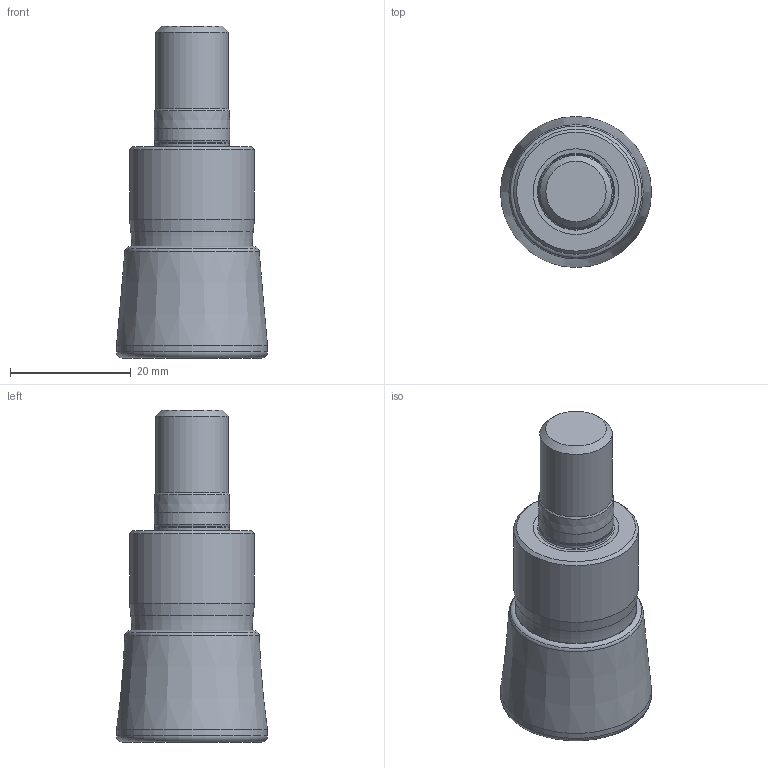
import math

import cadquery as cq

foot_radius = 12.5
foot_edge_fillet = 1.0
foot_rim_top = 2.0
foot_top = 18.5

shoulder_radius = 11.13
shoulder_side_fillet = 0.9
shoulder_top_fillet = 1.1
shoulder_split_angle = math.radians(42)

neck_radius = 10.0
neck_cone_bottom = 21.0
neck_cone_top = 23.0

body_radius = 10.35
body_top = 35.0
body_chamfer = 0.5

pilot_radius = 6.25
pilot_cone_radius = 6.2
pilot_cylinder_top = 38.0
pilot_top = 41.0
pilot_chamfer_height = 0.3

undercut_width = 1.0
undercut_depth = 0.1
undercut_radius = 0.2
undercut_entry_angle = math.radians(15)
undercut_face_angle = math.radians(8)
undercut_face_radius = 7.1

stud_radius = 6.0
stud_chamfer = 1.0
total_height = 55.0


def arc_point(center, radius, angle):
    """Point on a circle in the (radius, height) half plane."""
    return (center[0] + radius * math.cos(angle), center[1] + radius * math.sin(angle))


def add_arc(profile, center, radius, start_angle, end_angle):
    """Continue the profile along an arc that begins at its current point."""
    middle = arc_point(center, radius, (start_angle + end_angle) / 2)
    end = arc_point(center, radius, end_angle)
    return profile.threePointArc(middle, end)


def add_foot(profile):
    """Rounded bottom edge, short rim, tapered side and rounded shoulder."""
    edge_center = (foot_radius - foot_edge_fillet, foot_edge_fillet)

    fillet_difference = shoulder_top_fillet - shoulder_side_fillet
    side_center_x = shoulder_radius - shoulder_side_fillet
    top_center = (
        side_center_x - fillet_difference * math.cos(shoulder_split_angle),
        foot_top - shoulder_top_fillet,
    )
    side_center = arc_point(top_center, fillet_difference, shoulder_split_angle)

    rise = side_center[1] - foot_rim_top
    run = foot_radius - side_center[0]
    taper = math.atan2(run, rise) - math.asin(shoulder_side_fillet / math.hypot(run, rise))

    profile = profile.lineTo(edge_center[0], 0)
    profile = add_arc(profile, edge_center, foot_edge_fillet, -math.pi / 2, 0)
    profile = profile.lineTo(foot_radius, foot_rim_top)
    profile = profile.lineTo(*arc_point(side_center, shoulder_side_fillet, taper))
    profile = add_arc(profile, side_center, shoulder_side_fillet, taper, shoulder_split_angle)
    profile = add_arc(profile, top_center, shoulder_top_fillet, shoulder_split_angle, math.pi / 2)
    return profile.lineTo(neck_radius, foot_top)


def add_neck(profile):
    """Large concave arc, upright at the foot and tangent to the cone above it."""
    arc_height = neck_cone_bottom - foot_top
    cone_height = neck_cone_top - neck_cone_bottom
    slope = (body_radius - neck_radius) / (cone_height + arc_height / 2)
    cone_bottom_radius = body_radius - slope * cone_height
    arc_rise = cone_bottom_radius - neck_radius
    arc_radius = (arc_height**2 + arc_rise**2) / (2 * arc_rise)
    arc_angle = math.asin(arc_height / arc_radius)

    arc_center = (neck_radius + arc_radius, foot_top)
    profile = add_arc(profile, arc_center, arc_radius, math.pi, math.pi - arc_angle)
    return profile.lineTo(body_radius, neck_cone_top)


def add_body(profile):
    """Straight side with a chamfered top edge."""
    profile = profile.lineTo(body_radius, body_top - body_chamfer)
    return profile.lineTo(body_radius - body_chamfer, body_top)


def add_undercut(profile):
    """Sloped recess in the body top, rounded corner and sloped entry to the pilot."""
    floor_radius = pilot_radius - undercut_depth
    corner_x = floor_radius + undercut_radius
    entry_height = undercut_depth / math.tan(undercut_entry_angle)
    blend = undercut_radius * math.tan(undercut_entry_angle / 2)

    face_height = body_top - (undercut_face_radius - corner_x) * math.tan(undercut_face_angle)
    corner_center = (corner_x, face_height + undercut_radius / math.cos(undercut_face_angle))
    face_normal = 1.5 * math.pi + undercut_face_angle

    entry_top = body_top + undercut_width
    entry_center = (corner_x, entry_top - entry_height - blend)

    profile = profile.lineTo(undercut_face_radius, body_top)
    profile = profile.lineTo(*arc_point(corner_center, undercut_radius, face_normal))
    profile = add_arc(profile, corner_center, undercut_radius, face_normal, math.pi)
    profile = profile.lineTo(floor_radius, entry_center[1])
    profile = add_arc(profile, entry_center, undercut_radius, math.pi, math.pi - undercut_entry_angle)
    return profile.lineTo(pilot_radius, entry_top)


def add_pilot_and_stud(profile):
    """Cylindrical then slightly tapered pilot, and the chamfered stud."""
    profile = profile.lineTo(pilot_radius, pilot_cylinder_top)
    profile = profile.lineTo(pilot_cone_radius, pilot_top)
    profile = profile.lineTo(stud_radius, pilot_top + pilot_chamfer_height)
    profile = profile.lineTo(stud_radius, total_height - stud_chamfer)
    profile = profile.lineTo(stud_radius - stud_chamfer, total_height)
    return profile.lineTo(0, total_height)


outline = cq.Workplane("XZ").moveTo(0, 0)
outline = add_foot(outline)
outline = add_neck(outline)
outline = add_body(outline)
outline = add_undercut(outline)
outline = add_pilot_and_stud(outline)

result = outline.close().revolve(360, (0, 0, 0), (0, 1, 0))